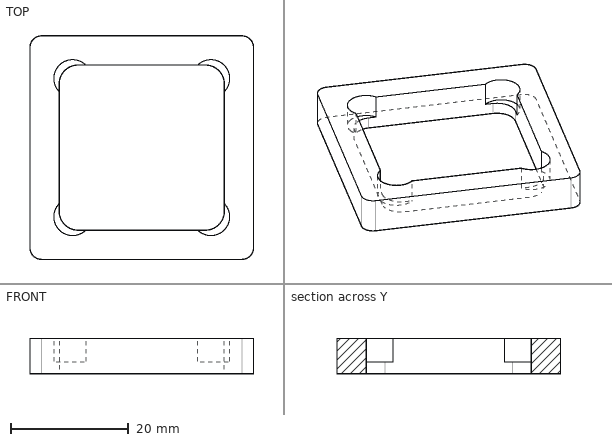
import cadquery as cq

outer_side = 38.0
height = 6.0
outer_corner_radius = 2.0
opening_side = 28.0
opening_corner_radius = 3.2

pocket_radius = 3.2
pocket_spacing = 23.5
pocket_depth = 4.0


def rounded_square(side, corner_radius):
    """Upright block of the frame height with rounded vertical edges."""
    block = cq.Workplane("XY").box(side, side, height, centered=(True, True, False))
    return block.edges("|Z").fillet(corner_radius)


def corner_pockets():
    """Four cylinders that reach from the pocket floors to the top face."""
    return (
        cq.Workplane("XY")
        .workplane(offset=height - pocket_depth)
        .rect(pocket_spacing, pocket_spacing, forConstruction=True)
        .vertices()
        .circle(pocket_radius)
        .extrude(pocket_depth)
    )


frame = rounded_square(outer_side, outer_corner_radius)
opening = rounded_square(opening_side, opening_corner_radius)

result = frame.cut(opening).cut(corner_pockets())